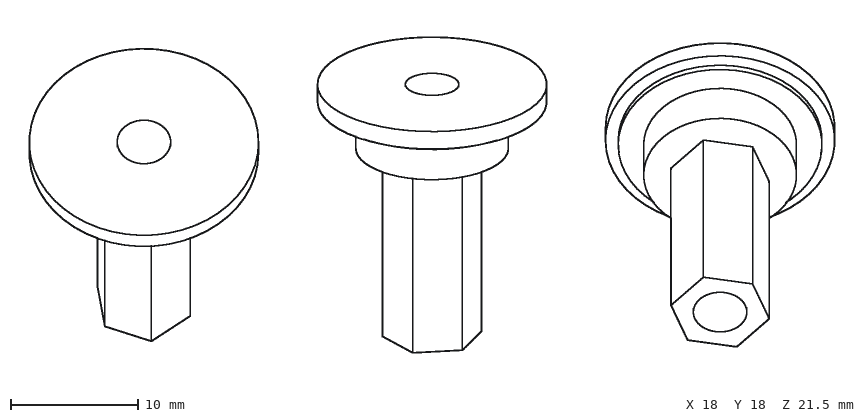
import cadquery as cq
import math

flange_diameter = 18.0
flange_thickness = 1.5
step_diameter = 16.0
step_thickness = 0.5
collar_diameter = 12.0
collar_length = 3.5
hex_across_flats = 6.8
hex_length = 16.0
bore_diameter = 4.2

collar_bottom = hex_length
step_bottom = collar_bottom + collar_length
flange_bottom = step_bottom + step_thickness
total_height = flange_bottom + flange_thickness


def disc(diameter, bottom, height):
    """Cylinder on the Z axis, standing on the given height."""
    return cq.Workplane("XY").workplane(offset=bottom).circle(diameter / 2).extrude(height)


def hex_shank():
    """Hexagonal shank with two opposite corners on the X axis."""
    hex_across_corners = hex_across_flats / math.cos(math.pi / 6)
    return cq.Workplane("XY").polygon(6, hex_across_corners).extrude(hex_length)


def head():
    """Collar, step and flange, widening towards the top."""
    collar = disc(collar_diameter, collar_bottom, collar_length)
    step = disc(step_diameter, step_bottom, step_thickness)
    flange = disc(flange_diameter, flange_bottom, flange_thickness)
    return collar.union(step).union(flange)


bore = disc(bore_diameter, 0, total_height)

result = hex_shank().union(head()).cut(bore)